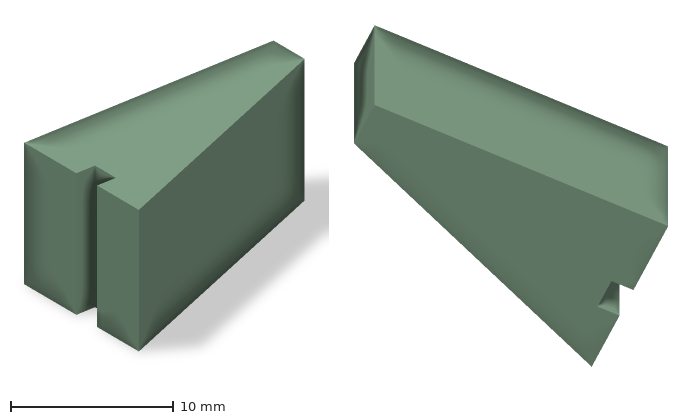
import cadquery as cq

base_width = 11.0
tip_width = 3.0
length = 20.0
height = 10.0

slot_offset = 5.0
slot_width = 2.0
slot_depth = 1.5


def wedge_block():
    """Right-angled trapezoid in plan, extruded upwards."""
    outline = [
        (0, 0),
        (base_width, 0),
        (tip_width, length),
        (0, length),
    ]
    return cq.Workplane("XY").polyline(outline).close().extrude(height)


def end_slot():
    """Rectangular cutter open to the wide end face."""
    cutter = cq.Workplane("XY").box(slot_width, slot_depth, height, centered=False)
    return cutter.translate((slot_offset, 0, 0))


result = wedge_block().cut(end_slot())